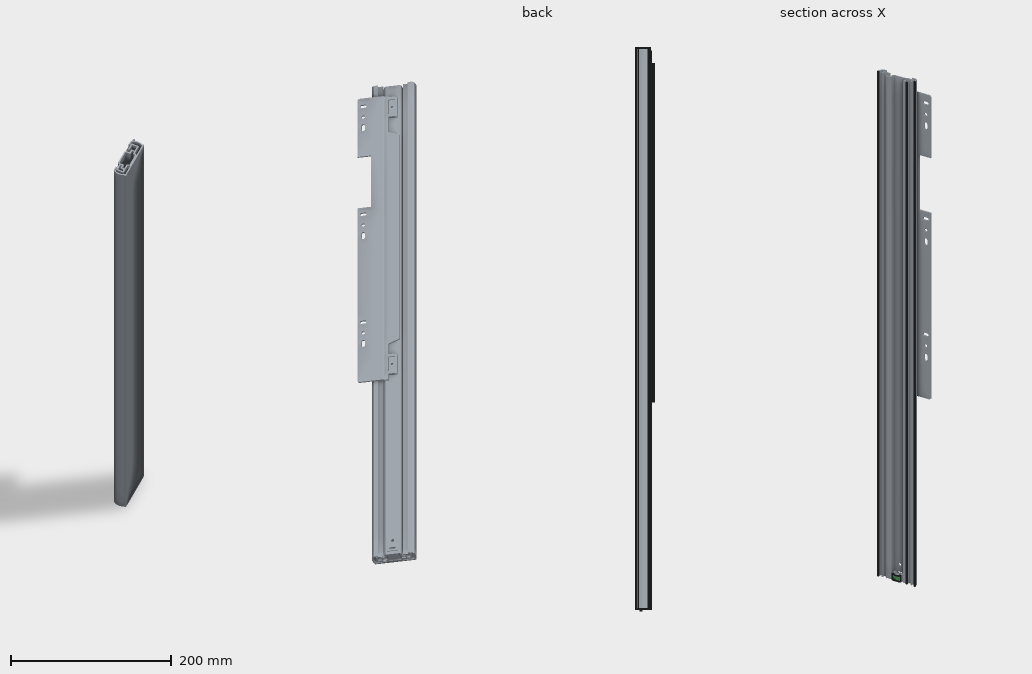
import cadquery as cq

SLIDE_TOP = 700.0
RAIL_BOTTOM = 2.0
RAIL_WIDTH = 56.0
MID_Y = RAIL_WIDTH / 2
SLIDE_DEPTH = 22.6

BRACKET_EDGE_Y = 71.89
BRACKET_TOP = 680.0
BRACKET_LENGTH = 420.0
BRACKET_BOTTOM = BRACKET_TOP - BRACKET_LENGTH
SHEET = 2.0
JOG = 1.6
JOG_START_Y = 39.4
JOG_END_Y = 37.4
FLANGE_EDGE_Y = 18.5
BRACKET_CORNER = 3.0
WINDOW_TOP = 594.0
WINDOW_BOTTOM = 518.0
WINDOW_EDGE_Y = 54.8
END_NOTCH_Y = 32.8
END_NOTCH_SHORT = 53.0
END_NOTCH_LONG = 59.0

HOLE_Y = 64.5
HOLE_GROUPS = 3
GROUP_PITCH = 160.0
HOLE_PITCH = 15.8
FIRST_HOLE_DROP = 11.8
HOLE_DIAMETER = 4.4
CROSS_SLOT_LENGTH = 8.5
LONG_SLOT_LENGTH = 10.0

OUTER_WALL = 1.8
OUTER_FRONT_X = 5.0
OUTER_BULGE = 1.5
BULGE_FRONT_X = 7.0
BULGE_BACK_X = 20.0
OUTER_BEVEL = 2.5
OUTER_MOUTH = 38.0

MIDDLE_WALL = 1.8
MIDDLE_FRONT_X = 7.2
MIDDLE_SHOULDER_X = 17.4
MIDDLE_BACK_X = SLIDE_DEPTH - OUTER_WALL
MIDDLE_WIDTH = 45.0
MIDDLE_BACK_WIDTH = 18.0
MIDDLE_SLOPE = 1.5
MIDDLE_MOUTH = 25.0
MIDDLE_TOP = SLIDE_TOP - 1.0
TAB_WIDTH = 3.5
TAB_MID_Y = 40.0

INNER_WALL = 1.8
INNER_FRONT_X = JOG + SHEET
INNER_SLOPE = 2.0
INNER_FACE_WIDTH = 18.0
INNER_NECK_WIDTH = INNER_FACE_WIDTH + 2 * INNER_SLOPE
INNER_FLANGE_X = 10.0
INNER_FLANGE_WIDTH = 32.0
INNER_BACK_X = 15.2
INNER_MOUTH = INNER_FLANGE_WIDTH - 2 * INNER_WALL
INNER_TOP = SLIDE_TOP - 4.0
WEB_HOLE_DIAMETER = 4.0
WEB_HOLE_Z = 22.0

STOP_WIDTH = 14.0
STOP_HEIGHT = 8.0
STOP_FOOT_WIDTH = 3.0
STOP_FOOT_HEIGHT = 2.0
STOP_GROOVE_HEIGHT = 2.0
STOP_GROOVE_DEPTH = 1.0

CATCH_LENGTH = 29.0
TOP_CATCH_INSET = 17.0
BOTTOM_CATCH_INSET = 22.0
CATCH_LOW_Y = 22.0
CATCH_SIDE_GAP = 0.5
CATCH_WIDTH = END_NOTCH_Y - CATCH_SIDE_GAP - CATCH_LOW_Y
CATCH_PLATE = 2.4
LUG_LENGTH = 4.0
LUG_WIDTH = 8.0
CATCH_HOLE_DIAMETER = 3.0


def block(x_range, y_range, z_range):
    """Box between the given limits."""
    sizes = [high - low for low, high in (x_range, y_range, z_range)]
    corner = (x_range[0], y_range[0], z_range[0])
    return cq.Workplane("XY").box(*sizes, centered=False).translate(corner)


def centered_range(middle, width):
    """Limits of a width centred on a middle."""
    return (middle - width / 2, middle + width / 2)


def mirrored(half_outline):
    """Complete a half outline of (x, half width) pairs about the rail's mid plane."""
    low_side = [(x, MID_Y - half) for x, half in half_outline]
    high_side = [(x, MID_Y + half) for x, half in reversed(half_outline)]
    return low_side + high_side


def rail_base():
    """Sketch plane at the lower end of the rails."""
    return cq.Workplane("XY").workplane(offset=RAIL_BOTTOM)


def hollow_rail(outline, wall, top):
    """Tube along Z with the given closed outline and wall."""
    length = top - RAIL_BOTTOM
    wire = outline.val()
    core = rail_base().add(wire).toPending().offset2D(-wall, "intersection").extrude(length)
    return outline.extrude(length).cut(core)


def make_outer_rail():
    """C channel with bulged side walls and bevelled front corners."""
    side_half = RAIL_WIDTH / 2 - OUTER_BULGE
    low_side = MID_Y - side_half
    high_side = MID_Y + side_half
    bulge_mid_x = (BULGE_FRONT_X + BULGE_BACK_X) / 2
    outline = (
        rail_base()
        .moveTo(OUTER_FRONT_X, low_side + OUTER_BEVEL)
        .lineTo(BULGE_FRONT_X, low_side)
        .threePointArc((bulge_mid_x, 0), (BULGE_BACK_X, low_side))
        .lineTo(SLIDE_DEPTH, low_side)
        .lineTo(SLIDE_DEPTH, high_side)
        .lineTo(BULGE_BACK_X, high_side)
        .threePointArc((bulge_mid_x, RAIL_WIDTH), (BULGE_FRONT_X, high_side))
        .lineTo(OUTER_FRONT_X, high_side - OUTER_BEVEL)
        .close()
    )
    tube = hollow_rail(outline, OUTER_WALL, SLIDE_TOP)
    mouth = block(
        (OUTER_FRONT_X, OUTER_FRONT_X + OUTER_WALL),
        centered_range(MID_Y, OUTER_MOUTH),
        (RAIL_BOTTOM, SLIDE_TOP),
    )
    return tube.cut(mouth)


def make_middle_rail():
    """C channel whose web bulges back onto the outer rail, with a small tab at its lower end."""
    back_half = MIDDLE_BACK_WIDTH / 2
    half_outline = [
        (MIDDLE_FRONT_X, MIDDLE_WIDTH / 2),
        (MIDDLE_SHOULDER_X, MIDDLE_WIDTH / 2),
        (MIDDLE_SHOULDER_X, back_half + MIDDLE_SLOPE),
        (MIDDLE_BACK_X, back_half),
    ]
    outline = rail_base().polyline(mirrored(half_outline)).close()
    tube = hollow_rail(outline, MIDDLE_WALL, MIDDLE_TOP)
    mouth = block(
        (MIDDLE_FRONT_X, MIDDLE_FRONT_X + MIDDLE_WALL),
        centered_range(MID_Y, MIDDLE_MOUTH),
        (RAIL_BOTTOM, MIDDLE_TOP),
    )
    tab = block(
        (MIDDLE_SHOULDER_X - MIDDLE_WALL, MIDDLE_SHOULDER_X),
        centered_range(TAB_MID_Y, TAB_WIDTH),
        (0, RAIL_BOTTOM),
    )
    return tube.cut(mouth).union(tab)


def make_stop():
    """Block closing the lower end of the inner rail, with two feet on top and a groove across its face."""
    x_range = (INNER_FRONT_X, INNER_BACK_X)
    top = RAIL_BOTTOM + STOP_HEIGHT
    stop = block(x_range, centered_range(MID_Y, STOP_WIDTH), (RAIL_BOTTOM, top))
    for side in (-1, 1):
        foot_mid_y = MID_Y + side * (STOP_WIDTH - STOP_FOOT_WIDTH) / 2
        foot = block(x_range, centered_range(foot_mid_y, STOP_FOOT_WIDTH), (top, top + STOP_FOOT_HEIGHT))
        stop = stop.union(foot)
    groove = block(
        (INNER_FRONT_X, INNER_FRONT_X + STOP_GROOVE_DEPTH),
        centered_range(MID_Y, STOP_WIDTH),
        centered_range((RAIL_BOTTOM + top) / 2, STOP_GROOVE_HEIGHT),
    )
    return stop.cut(groove)


def make_inner_rail():
    """Hat-shaped channel open at the back, with a web hole and a seat for the end stop."""
    half_outline = [
        (INNER_FRONT_X, INNER_FACE_WIDTH / 2),
        (INNER_FRONT_X + INNER_SLOPE, INNER_NECK_WIDTH / 2),
        (INNER_FLANGE_X, INNER_NECK_WIDTH / 2),
        (INNER_FLANGE_X, INNER_FLANGE_WIDTH / 2),
        (INNER_BACK_X, INNER_FLANGE_WIDTH / 2),
    ]
    outline = rail_base().polyline(mirrored(half_outline)).close()
    tube = hollow_rail(outline, INNER_WALL, INNER_TOP)
    mouth = block(
        (INNER_BACK_X - INNER_WALL, INNER_BACK_X),
        centered_range(MID_Y, INNER_MOUTH),
        (RAIL_BOTTOM, INNER_TOP),
    )
    web_hole = (
        cq.Workplane("YZ", origin=(INNER_FRONT_X, MID_Y, WEB_HOLE_Z))
        .circle(WEB_HOLE_DIAMETER / 2)
        .extrude(INNER_WALL)
    )
    stop_seat = block(
        (INNER_FRONT_X, INNER_FRONT_X + INNER_WALL),
        centered_range(MID_Y, STOP_WIDTH),
        (RAIL_BOTTOM, RAIL_BOTTOM + STOP_HEIGHT + STOP_FOOT_HEIGHT),
    )
    return tube.cut(mouth).cut(web_hole).cut(stop_seat)


def cut_hole_group(bracket, first_z):
    """Cross slot, round hole and long slot below one another."""
    def cutter(step):
        return cq.Workplane("YZ", origin=(0, HOLE_Y, first_z - step * HOLE_PITCH))

    cross_slot = cutter(0).slot2D(CROSS_SLOT_LENGTH, HOLE_DIAMETER).extrude(SHEET)
    round_hole = cutter(1).circle(HOLE_DIAMETER / 2).extrude(SHEET)
    long_slot = cutter(2).slot2D(LONG_SLOT_LENGTH, HOLE_DIAMETER, 90).extrude(SHEET)
    return bracket.cut(cross_slot).cut(round_hole).cut(long_slot)


def end_notch(end_z, inward):
    """Slope-ended cutter for the flange at one bracket end; inward is the Z direction into the bracket."""
    outline = [
        (END_NOTCH_Y, end_z),
        (END_NOTCH_Y, end_z + inward * END_NOTCH_SHORT),
        (FLANGE_EDGE_Y, end_z + inward * END_NOTCH_LONG),
        (FLANGE_EDGE_Y, end_z),
    ]
    return cq.Workplane("YZ").polyline(outline).close().extrude(JOG + SHEET)


def make_bracket():
    """Jogged sheet: mounting plate beyond the rail edge and flange lying on the inner rail."""
    profile = [
        (0, BRACKET_EDGE_Y),
        (0, JOG_START_Y),
        (JOG, JOG_END_Y),
        (JOG, FLANGE_EDGE_Y),
        (JOG + SHEET, FLANGE_EDGE_Y),
        (JOG + SHEET, JOG_END_Y),
        (SHEET, JOG_START_Y),
        (SHEET, BRACKET_EDGE_Y),
    ]
    base = cq.Workplane("XY").workplane(offset=BRACKET_BOTTOM)
    sheet = base.polyline(profile).close().extrude(BRACKET_LENGTH)
    sheet = sheet.faces(">Y").edges("|X").fillet(BRACKET_CORNER)
    window = block((0, SHEET), (WINDOW_EDGE_Y, BRACKET_EDGE_Y), (WINDOW_BOTTOM, WINDOW_TOP))
    bracket = sheet.cut(window)
    bracket = bracket.cut(end_notch(BRACKET_TOP, -1)).cut(end_notch(BRACKET_BOTTOM, 1))
    for group in range(HOLE_GROUPS):
        bracket = cut_hole_group(bracket, BRACKET_TOP - FIRST_HOLE_DROP - group * GROUP_PITCH)
    return bracket


def make_catch(middle_z):
    """Plate on the inner rail with a lug at each end and a round hole between them."""
    y_range = (CATCH_LOW_Y, CATCH_LOW_Y + CATCH_WIDTH)
    plate_front_x = INNER_FRONT_X - CATCH_PLATE
    catch = block((plate_front_x, INNER_FRONT_X), y_range, centered_range(middle_z, CATCH_LENGTH))
    lug_y_range = (y_range[1] - LUG_WIDTH, y_range[1])
    for side in (-1, 1):
        lug_z = middle_z + side * (CATCH_LENGTH - LUG_LENGTH) / 2
        catch = catch.union(block((0, plate_front_x), lug_y_range, centered_range(lug_z, LUG_LENGTH)))
    hole = (
        cq.Workplane("YZ", origin=(plate_front_x, y_range[1] - LUG_WIDTH / 2, middle_z))
        .circle(CATCH_HOLE_DIAMETER / 2)
        .extrude(CATCH_PLATE)
    )
    return catch.cut(hole)


outer_rail = make_outer_rail()
middle_rail = make_middle_rail()
stop = make_stop()
inner_rail = make_inner_rail()
bracket = make_bracket()

catch_heights = (BRACKET_BOTTOM + BOTTOM_CATCH_INSET, BRACKET_TOP - TOP_CATCH_INSET)
catches = [make_catch(z) for z in catch_heights]

result = cq.Compound.makeCompound([
    outer_rail.val(),
    middle_rail.val(),
    inner_rail.val(),
    stop.val(),
    bracket.val(),
    *[catch.val() for catch in catches],
])